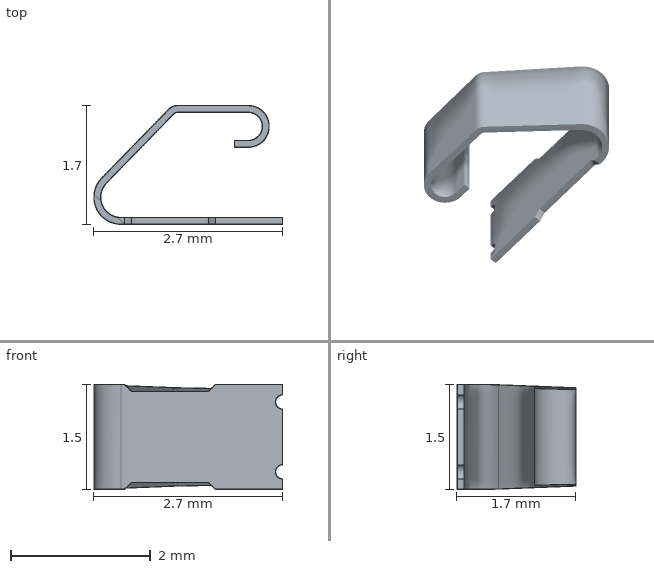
import cadquery as cq
import math

length = 2.7
depth = 1.7
height = 1.5
thickness = 0.1

lower_radius = 0.39
upper_radius = 0.178
hook_radius = 3 * thickness
upper_bend_x = 1.2
hook_bend_x = 2.209
hook_tip_x = 2.01

plate_start_x = 0.44
neck_end_x = 1.74
neck_depth = 0.1
notch_radius = 0.1
notch_inset = 0.25

taper_start = 0.31
taper_slope = 0.028

lower_center = (lower_radius, lower_radius)
upper_center = (upper_bend_x, depth - upper_radius)
hook_center = (hook_bend_x, depth - hook_radius)
center_dx = upper_center[0] - lower_center[0]
center_dy = upper_center[1] - lower_center[1]
radius_drop = lower_radius - upper_radius
arm_angle = math.atan2(center_dy, center_dx) - math.asin(radius_drop / math.hypot(center_dx, center_dy))
arm_normal_angle = arm_angle + math.pi / 2


def on_circle(center, radius, angle):
    return (center[0] + radius * math.cos(angle), center[1] + radius * math.sin(angle))


def bend_points(center, radius, start, end):
    """Start, middle and end points of an arc."""
    return [on_circle(center, radius, a) for a in (start, (start + end) / 2, end)]


def strip_side(offset):
    """Bend points along one face of the sheet, set in from the outer face by offset."""
    lower = bend_points(lower_center, lower_radius - offset, 1.5 * math.pi, arm_normal_angle)
    upper = bend_points(upper_center, upper_radius - offset, arm_normal_angle, math.pi / 2)
    hook = bend_points(hook_center, hook_radius - offset, math.pi / 2, -math.pi / 2)
    return lower, upper, hook


def make_strip():
    """Bent strip: lower bend, sloping arm, upper bend, flat and hook."""
    outer_lower, outer_upper, outer_hook = strip_side(0)
    inner_lower, inner_upper, inner_hook = strip_side(thickness)
    hook_outer_y = depth - 2 * hook_radius
    profile = cq.Workplane("XY").workplane(offset=-height / 2).moveTo(plate_start_x, 0)
    for start, middle, end in (outer_lower, outer_upper, outer_hook):
        profile = profile.lineTo(*start).threePointArc(middle, end)
    profile = profile.lineTo(hook_tip_x, hook_outer_y)
    profile = profile.lineTo(hook_tip_x, hook_outer_y + thickness)
    for start, middle, end in (inner_hook, inner_upper, inner_lower):
        profile = profile.lineTo(*end).threePointArc(middle, start)
    return profile.lineTo(plate_start_x, thickness).close().extrude(height)


def make_taper_cutter(side):
    """Wedge that slopes one edge of the strip towards Z = 0; side is +1 or -1."""
    direction = (math.cos(arm_angle), math.sin(arm_angle), 0)
    across = (math.sin(arm_angle), -math.cos(arm_angle), 0)
    reach = length + depth
    edge = height / 2
    inner_edge = edge - taper_slope * (reach - taper_start)
    outline = [(taper_start, side * edge), (reach, side * edge), (reach, side * inner_edge)]
    plane = cq.Plane(origin=(0, 0, 0), xDir=direction, normal=across)
    return cq.Workplane(plane).polyline(outline).close().extrude(reach, both=True)


def make_plate():
    """Flat base with a narrowed neck and two round notches in its free end."""
    edge = height / 2
    neck_edge = edge - neck_depth
    upper_edge = [
        (plate_start_x, edge),
        (plate_start_x + neck_depth, neck_edge),
        (neck_end_x - neck_depth, neck_edge),
        (neck_end_x, edge),
        (length, edge),
    ]
    lower_edge = [(x, -z) for x, z in reversed(upper_edge)]
    plate = cq.Workplane("XZ").polyline(upper_edge + lower_edge).close().extrude(-thickness)
    notch_z = edge - notch_inset
    notch_centers = [(length, notch_z), (length, -notch_z)]
    notches = cq.Workplane("XZ").pushPoints(notch_centers).circle(notch_radius).extrude(-thickness)
    return plate.cut(notches)


strip = make_strip()
for side in (1, -1):
    strip = strip.cut(make_taper_cutter(side))

result = strip.union(make_plate())